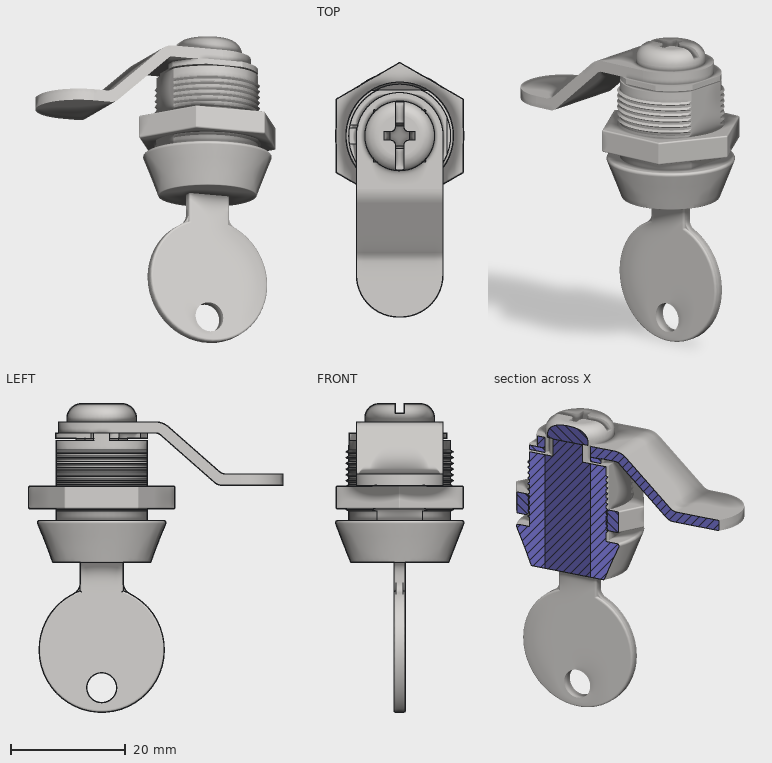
import cadquery as cq
import math


flange_height = 7.3
barrel_height = 13.95
nut_bottom = 2.0
nut_height = 4.0
stop_bottom = 14.25
cam_bottom = 15.2
cam_thickness = 2.0
cam_top = cam_bottom + cam_thickness
screw_top = 20.35

barrel_diameter = 17.75
barrel_flats = 15.9
bore_diameter = 12.7
flange_top_radius = 11.4
flange_bottom_radius = 8.55
flange_top_fillet = 0.45
flange_bottom_fillet = 0.15
thread_diameter = 18.75
thread_span = 10.05
thread_root_width = 0.6
thread_count = 11
thread_pitch = thread_span / (thread_count - 1)
thread_first_crest = 11.95
tab_width = 2.8
tab_inner_x = 7.55

nut_across_flats = 22.2
nut_bore_diameter = 18.05
nut_fillet = 0.25
nut_bore_chamfer = 0.4

drive_square = 9.05
post_diameter = 10.75

stop_flats = 16.05
stop_side_flat_x = 8.25
stop_edge = 1.9
stop_side_edge_x = 7.25
stop_front_edge_y = 6.75
stop_corner_x = 5.4
stop_corner_y = 3.0

cam_width = 15.1
cam_tip_y = -31.6
cam_tip_flat = 0.3
cam_bend_y = -10.65
cam_lower_bend_y = -21.0
cam_drop = 9.1
upper_bend_outer = 3.5
upper_bend_inner = 1.1
lower_bend_fillet = 2.0

head_diameter = 12.15
head_fillet = 2.55
shank_diameter = 4.85
shank_length = 8.1
slot_width = 1.5
slot_depth = 1.65
recess_depth = 3.4
recess_top_length = 5.4
recess_bottom_length = 3.45
recess_corner_fillet = 0.8

key_thickness = 2.0
key_edge_fillet = 0.4
key_bow_radius = 10.95
key_bow_z = -22.55
key_shank_width = 7.55
key_neck_fillet = 2.15
key_hole_diameter = 5.15
key_hole_z = -29.2
key_insertion = 10.75


def cylinder(diameter, bottom, top):
    return cq.Workplane("XY").workplane(offset=bottom).circle(diameter / 2).extrude(top - bottom)


def block(x_range, y_range, z_range):
    """Box given by its low and high coordinate along each axis."""
    (x0, x1), (y0, y1), (z0, z1) = x_range, y_range, z_range
    return cq.Workplane("XY").box(x1 - x0, y1 - y0, z1 - z0, centered=False).translate((x0, y0, z0))


def disc_across_x(radius, center_y, center_z, thickness):
    """Disc whose axis is parallel to X, centred on X = 0."""
    plane = cq.Workplane("YZ").workplane(offset=-thickness / 2)
    return plane.center(center_y, center_z).circle(radius).extrude(thickness)


def square_bar(side, bottom, top):
    half = side / 2
    return block((-half, half), (-half, half), (bottom, top))


def make_flange():
    """Conical head of the housing, rounded at both rims."""
    profile = [(0, 0), (flange_top_radius, 0), (flange_bottom_radius, -flange_height), (0, -flange_height)]
    cone = cq.Workplane("XZ").polyline(profile).close().revolve(360, (0, 0), (0, 1))
    cone = cone.faces(">Z").edges().fillet(flange_top_fillet)
    return cone.faces("<Z").edges().fillet(flange_bottom_fillet)


def make_threaded_barrel():
    """Barrel with ring-shaped thread crests, trimmed by two flats facing +Y and -Y."""
    root = barrel_diameter / 2
    profile = [(0, barrel_height), (root, barrel_height)]
    for i in range(thread_count):
        crest_z = thread_first_crest - i * thread_pitch
        profile.append((root, crest_z + thread_root_width / 2))
        profile.append((thread_diameter / 2, crest_z))
        profile.append((root, crest_z - thread_root_width / 2))
    profile += [(root, 0), (0, 0)]
    barrel = cq.Workplane("XZ").polyline(profile).close().revolve(360, (0, 0), (0, 1))
    return barrel.intersect(
        block(
            (-thread_diameter, thread_diameter),
            (-barrel_flats / 2, barrel_flats / 2),
            (0, barrel_height),
        )
    )


def make_housing():
    tab = cylinder(barrel_diameter, barrel_height, cam_bottom).intersect(
        block(
            (-barrel_diameter, -tab_inner_x),
            (-tab_width / 2, tab_width / 2),
            (barrel_height, cam_bottom),
        )
    )
    body = make_flange().union(make_threaded_barrel()).union(tab)
    return body.cut(cylinder(bore_diameter, -flange_height, barrel_height))


def make_nut(housing):
    """Hex nut with two corners on the Y axis; its bore is grooved by the housing thread."""
    across_corners = nut_across_flats / math.cos(math.radians(30))
    nut = cq.Workplane("XY").polygon(6, across_corners).extrude(nut_height)
    nut = nut.edges().fillet(nut_fillet)
    nut = nut.cut(cylinder(nut_bore_diameter, 0, nut_height))
    bore_rims = cq.selectors.RadiusNthSelector(-1)
    nut = nut.faces("<Z or >Z").edges(bore_rims).chamfer(nut_bore_chamfer)
    nut = nut.rotate((0, 0, 0), (0, 0, 1), 90).translate((0, 0, nut_bottom))
    return nut.cut(housing)


def make_plug(key):
    """Lock plug with a flatted drive post, a keyway and a screw hole."""
    body = cylinder(bore_diameter, -flange_height, barrel_height)
    post = cylinder(post_diameter, barrel_height, cam_top).intersect(
        square_bar(drive_square, barrel_height, cam_top)
    )
    screw_hole = cylinder(shank_diameter, cam_top - shank_length, cam_top)
    return body.union(post).cut(key).cut(screw_hole)


def make_stop_plate():
    """Plate that limits the cam to a quarter turn against the housing tab."""
    half = stop_flats / 2
    reach = barrel_diameter
    height = (stop_bottom, cam_bottom)
    plate = cylinder(barrel_diameter, *height)
    plate = plate.intersect(block((-reach, stop_side_flat_x), (-half, half), height))
    plate = plate.cut(block((-reach, -stop_side_edge_x), (-reach, stop_edge), height))
    plate = plate.cut(block((-reach, stop_edge), (-reach, -stop_front_edge_y), height))
    plate = plate.cut(block((-reach, -stop_corner_x), (-reach, -stop_corner_y), height))
    return plate.cut(square_bar(drive_square, *height))


def make_cam():
    """Bent strip with rounded ends and a square drive hole."""
    half_width = cam_width / 2
    bend_angle = math.atan2(cam_drop, cam_bend_y - cam_lower_bend_y)
    underside_shift = cam_thickness * math.tan(bend_angle / 2)
    lower_top = cam_top - cam_drop
    lower_bottom = lower_top - cam_thickness

    upper_top_corner = (cam_bend_y, cam_top)
    lower_top_corner = (cam_lower_bend_y, lower_top)
    lower_bottom_corner = (cam_lower_bend_y + underside_shift, lower_bottom)
    upper_bottom_corner = (cam_bend_y + underside_shift, cam_bottom)
    side = [
        (half_width, cam_top),
        upper_top_corner,
        lower_top_corner,
        (cam_tip_y, lower_top),
        (cam_tip_y, lower_bottom),
        lower_bottom_corner,
        upper_bottom_corner,
        (half_width, cam_bottom),
    ]
    strip = cq.Workplane("YZ").polyline(side).close().extrude(half_width, both=True)

    bends = [
        (upper_top_corner, upper_bend_outer),
        (upper_bottom_corner, upper_bend_inner),
        (lower_top_corner, lower_bend_fillet),
        (lower_bottom_corner, lower_bend_fillet),
    ]
    for (y, z), radius in bends:
        strip = strip.edges(cq.NearestToPointSelector((0, y, z))).fillet(radius)

    front = block((-half_width, half_width), (cam_tip_y, 0), (lower_bottom, cam_top))
    front = front.edges("|Z and <Y").fillet((cam_width - cam_tip_flat) / 2)
    plan = front.union(cylinder(cam_width, lower_bottom, cam_top))
    return strip.intersect(plan).cut(square_bar(drive_square, cam_bottom, cam_top))


def make_cross_recess():
    """Cross-shaped driver recess: parallel arm sides, sloping arm ends."""
    bottom = screw_top - recess_depth
    arm_profile = [
        (-recess_top_length / 2, screw_top),
        (recess_top_length / 2, screw_top),
        (recess_bottom_length / 2, bottom),
        (-recess_bottom_length / 2, bottom),
    ]
    arm = cq.Workplane("XZ").polyline(arm_profile).close().extrude(slot_width / 2, both=True)
    cross = arm.union(arm.rotate((0, 0, 0), (0, 0, 1), 90))
    return cross.edges("|Z").fillet(recess_corner_fillet)


def make_screw():
    """Pan-head screw with a straight slot across a cross recess."""
    head = cylinder(head_diameter, cam_top, screw_top).faces(">Z").edges().fillet(head_fillet)
    shank = cylinder(shank_diameter, cam_top - shank_length, cam_top)
    slot = block(
        (-slot_width / 2, slot_width / 2),
        (-head_diameter / 2, head_diameter / 2),
        (screw_top - slot_depth, screw_top),
    )
    return head.union(shank).cut(slot).cut(make_cross_recess())


def make_key_neck(web_thickness):
    """Thin web that blends the key shank into the bow with two tangent arcs."""
    half_width = key_shank_width / 2
    arc_center_y = half_width + key_neck_fillet
    center_distance = key_bow_radius + key_neck_fillet
    arc_rise = math.sqrt(center_distance**2 - arc_center_y**2)
    bow_tangent_y = arc_center_y * key_bow_radius / center_distance
    bow_tangent_z = key_bow_z + arc_rise * key_bow_radius / center_distance
    web = block(
        (-web_thickness / 2, web_thickness / 2),
        (-bow_tangent_y, bow_tangent_y),
        (bow_tangent_z, key_bow_z + arc_rise),
    )
    for side in (-1, 1):
        relief = disc_across_x(key_neck_fillet, side * arc_center_y, key_bow_z + arc_rise, web_thickness)
        web = web.cut(relief)
    return web


def make_key():
    half_thickness = key_thickness / 2
    bow = disc_across_x(key_bow_radius, 0, key_bow_z, key_thickness)
    bow = bow.faces("<X or >X").edges().fillet(key_edge_fillet)
    shank = block(
        (-half_thickness, half_thickness),
        (-key_shank_width / 2, key_shank_width / 2),
        (key_bow_z, -flange_height + key_insertion),
    )
    shank = shank.edges("|Z").fillet(key_edge_fillet)
    neck = make_key_neck(key_thickness - 2 * key_edge_fillet)
    hole = disc_across_x(key_hole_diameter / 2, 0, key_hole_z, key_thickness)
    return bow.union(shank).union(neck).cut(hole)


key = make_key()
screw = make_screw()
housing = make_housing()
nut = make_nut(housing)
plug = make_plug(key)
stop_plate = make_stop_plate()
cam = make_cam()

bodies = [housing, nut, plug, stop_plate, cam, screw, key]
result = cq.Compound.makeCompound([body.solids().val() for body in bodies])